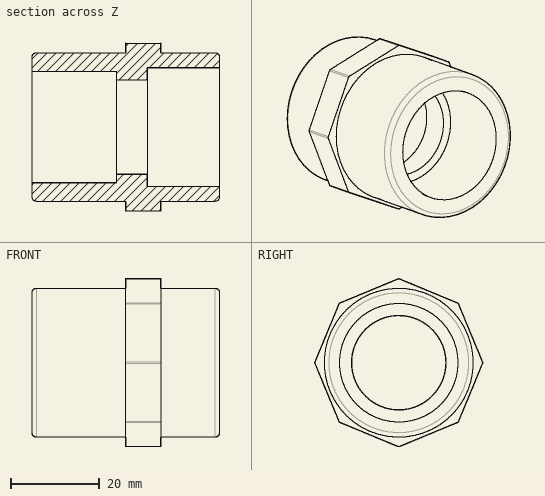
import cadquery as cq
import math

length = 42.3
body_diameter = 33.5
end_fillet = 1.0

collar_start = 21.1
collar_width = 7.95
collar_across_corners = 37.8
collar_corner_radius = 0.5
collar_sides = 8

bore_diameter = 21.2
left_socket_diameter = 25.0
left_socket_depth = 19.05
right_socket_diameter = 26.7
right_socket_depth = 16.3


def cylinder(start, depth, diameter):
    """Cylinder along +X from the given start plane."""
    return cq.Workplane("YZ", origin=(start, 0, 0)).circle(diameter / 2).extrude(depth)


def make_body():
    return cylinder(0, length, body_diameter).faces("<X or >X").edges().fillet(end_fillet)


def make_collar():
    """Octagon with corners on the Y and Z axes, its corners rounded to the across-corners size."""
    half_angle = math.pi / collar_sides
    corner_loss = collar_corner_radius * (1 / math.cos(half_angle) - 1)
    sharp_diameter = collar_across_corners + 2 * corner_loss
    return (
        cq.Workplane("YZ", origin=(collar_start, 0, 0))
        .polygon(collar_sides, sharp_diameter)
        .extrude(collar_width)
        .edges("|X")
        .fillet(collar_corner_radius)
    )


def make_bore():
    passage = cylinder(0, length, bore_diameter)
    left_socket = cylinder(0, left_socket_depth, left_socket_diameter)
    right_socket = cylinder(length - right_socket_depth, right_socket_depth, right_socket_diameter)
    return passage.union(left_socket).union(right_socket)


result = make_body().union(make_collar()).cut(make_bore())